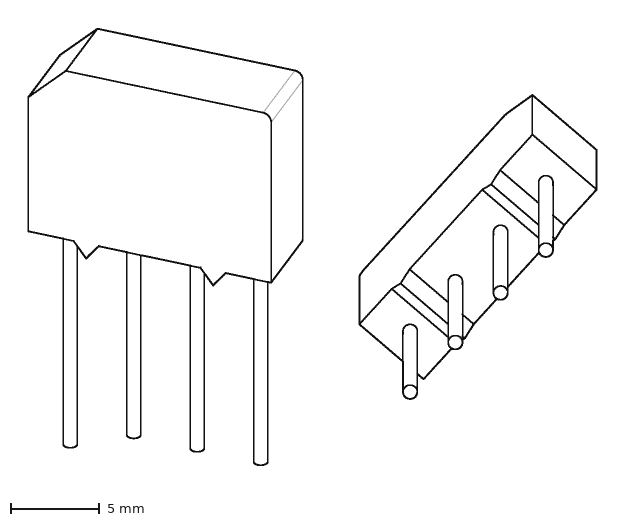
import cadquery as cq

housing_width = 14.73
housing_depth = 4.83
housing_height = 11.2
corner_chamfer = 2.28
corner_radius = 0.5

ridge_height = 1.0
ridge_half_width = 0.76

overall_height = 26.38
lead_diameter = 0.81
lead_pitch = 3.85
lead_count = 4
long_lead_length = overall_height - housing_height
lead_length_difference = 1.52
short_lead_length = long_lead_length - lead_length_difference

half_width = housing_width / 2
first_lead_x = -(lead_count - 1) / 2 * lead_pitch
ridge_x = -first_lead_x - lead_pitch / 2


def make_ridge(center_x):
    """Triangular standoff hanging from the underside of the housing."""
    return (
        cq.Workplane("XZ")
        .moveTo(center_x - ridge_half_width, 0)
        .lineTo(center_x + ridge_half_width, 0)
        .lineTo(center_x, -ridge_height)
        .close()
        .extrude(housing_depth / 2, both=True)
    )


def make_housing():
    """Block with one chamfered and one rounded upper corner, plus its ridges."""
    body = cq.Workplane("XY").box(
        housing_width, housing_depth, housing_height, centered=(True, True, False)
    )
    body = body.edges("<X and >Z").chamfer(corner_chamfer)
    body = body.edges(">X and >Z").fillet(corner_radius)
    for center_x in (-ridge_x, ridge_x):
        body = body.union(make_ridge(center_x))
    return body


def make_lead(center_x, length):
    """Round lead running down from the underside of the housing."""
    return (
        cq.Workplane("XY")
        .center(center_x, 0)
        .circle(lead_diameter / 2)
        .extrude(-length)
    )


housing = make_housing()

leads = []
for index in range(lead_count):
    length = long_lead_length if index == 0 else short_lead_length
    leads.append(make_lead(first_lead_x + index * lead_pitch, length))

result = cq.Compound.makeCompound(
    [housing.solids().val(), *[lead.val() for lead in leads]]
)